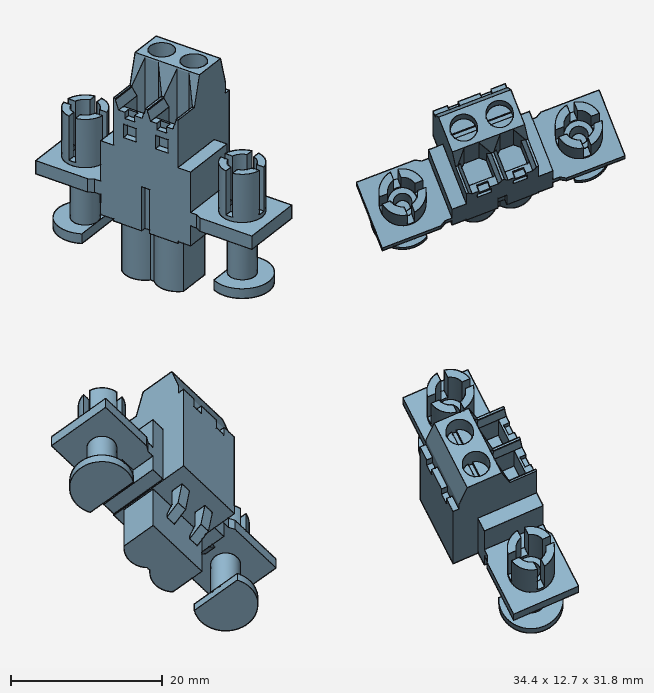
import cadquery as cq


EPS = 0.35

POLE_X = 2.55
BODY_W = 10.25
BODY_FRONT_Y = -4.3
BODY_BACK_Y = 7.9
BODY_BOTTOM_Z = -3.4
BODY_TOP_Z = 20.05
SHOULDER_Z = 15.65
LEDGE_Z = 14.12
LEDGE_DEPTH = 0.85
TOP_FRONT_Y = 0.82
TOP_BACK_Y = 5.85
SLOPE_FOOT_Y = -0.38

WING_W = 14.3
WING_HALF_Y = -BODY_FRONT_Y
WING_BOTTOM_Z = -3.1
WING_TOP_Z = 8.3
FLANGE_LENGTH = 34.35
FLANGE_HALF_Y = 4.75
FLANGE_T = 2.05
NECK_X = 8.1
FLANGE_WIDE_X = 8.9
GUSSET_LEG = 2.2
GUSSET_W = 1.72

COLLAR_X = 12.47
COLLAR_R = 3.13
COLLAR_TOP_Z = 9.52
COLLAR_SLOT_W = 1.03
COLLAR_SLOT_FLOOR_Z = 2.7

PIN_R = 2.0
PIN_HEAD_R = 4.25
PIN_HEAD_TOP_Z = -7.5
PIN_HEAD_T = 1.5
SOCKET_MOUTH_R = 1.25
SOCKET_FLOOR_R = 1.03
SOCKET_DEPTH = 4.12

SCREW_Y = 3.35
SCREW_R = 1.82
SCREW_RECESS = 3.45
SCREW_LENGTH = 4.12
DRIVE_SLOT_W = 0.65
DRIVE_SLOT_DEPTH = 0.7

ENTRY_FLOOR_Z = 14.02
ENTRY_BACK_Y = 0.75
ENTRY_HALF_BACK = 0.95
ENTRY_HALF_FLOOR = 1.75
ENTRY_HALF_MOUTH = 2.27
ENTRY_FUNNEL_TOP_Z = 15.43
LEFT_ENTRY_EXTRA = 0.2
LIP_BACK_Y = -3.13
WIRE_SHAFT_DEPTH = 5.15
NOTCH_W = 1.55
NOTCH_H = 0.95
NOTCH_DEPTH = 0.85

WINDOW_W = 2.0
WINDOW_BOTTOM_Z = 10.05
WINDOW_H = 2.05
WINDOW_DEPTH = 0.95
CENTRE_SLOT_W = 1.25
CENTRE_SLOT_TOP_Z = 3.4
CENTRE_SLOT_DEPTH = 0.75
LATCH_X = 2.3
LATCH_W = 1.5
BACK_NOTCH_H = 1.72

PLUG_BOTTOM_Z = -11.7
PLUG_HALF_W = 4.9
PLUG_GAP_HALF_W = 0.27
PLUG_BACK_Y = 2.4
PLUG_FLAT_Y = -2.68
PLUG_FRONT_Y = -3.68
LATCH_BACK_Y = TOP_BACK_Y
LATCH_FRONT_Y = 4.1
LATCH_TIP_Y = 3.2
LATCH_TIP_TOP_Z = -7.97
LATCH_TIP_BOTTOM_Z = -8.6
LATCH_HEEL_Y = 5.15
LATCH_HEEL_Z = -7.05
LATCH_BEND_Z = -6.43


def box(x0, x1, y0, y1, z0, z1):
    """Box between two opposite corners."""
    return cq.Workplane("XY").box(x1 - x0, y1 - y0, z1 - z0, centered=False).translate((x0, y0, z0))


def wide_box(x, width, y0, y1, z0, z1):
    """Box centred on x."""
    return box(x - width / 2, x + width / 2, y0, y1, z0, z1)


def cylinder(x, y, radius, z0, z1):
    return cq.Workplane("XY", origin=(x, y, z0)).circle(radius).extrude(z1 - z0)


def side_profile(points, x, width):
    """Solid from (y, z) points, centred on x."""
    return cq.Workplane("YZ", origin=(x - width / 2, 0, 0)).polyline(points).close().extrude(width)


def make_core():
    ledge_y = BODY_BACK_Y - LEDGE_DEPTH
    profile = [
        (BODY_FRONT_Y, BODY_BOTTOM_Z),
        (BODY_BACK_Y, BODY_BOTTOM_Z),
        (BODY_BACK_Y, LEDGE_Z),
        (ledge_y, LEDGE_Z),
        (ledge_y, SHOULDER_Z),
        (TOP_BACK_Y, BODY_TOP_Z),
        (TOP_FRONT_Y, BODY_TOP_Z),
        (SLOPE_FOOT_Y, SHOULDER_Z),
        (BODY_FRONT_Y, SHOULDER_Z),
    ]
    core = side_profile(profile, 0, BODY_W)
    wings = wide_box(0, WING_W, -WING_HALF_Y, WING_HALF_Y, WING_BOTTOM_Z, WING_TOP_Z)
    return core.union(wings)


def make_flange():
    """Flange, gusset and collar on the +X side, not yet slotted or bored."""
    end_x = FLANGE_LENGTH / 2
    outline = [
        (0, -WING_HALF_Y),
        (NECK_X, -WING_HALF_Y),
        (FLANGE_WIDE_X, -FLANGE_HALF_Y),
        (end_x, -FLANGE_HALF_Y),
        (end_x, FLANGE_HALF_Y),
        (FLANGE_WIDE_X, FLANGE_HALF_Y),
        (NECK_X, WING_HALF_Y),
        (0, WING_HALF_Y),
    ]
    plate = cq.Workplane("XY").polyline(outline).close().extrude(FLANGE_T)
    wing_x = WING_W / 2
    gusset_outline = [(wing_x, 0), (wing_x + GUSSET_LEG, 0), (wing_x, -GUSSET_LEG)]
    gusset = cq.Workplane("XZ").polyline(gusset_outline).close().extrude(GUSSET_W / 2, both=True)
    collar = cylinder(COLLAR_X, 0, COLLAR_R, FLANGE_T, COLLAR_TOP_Z)
    return plate.union(gusset).union(collar)


def make_flange_cutter():
    """Pin bore and the crossed collar slots on the +X side."""
    slot_top_z = COLLAR_TOP_Z + EPS
    slot_reach = COLLAR_R + EPS
    bore = cylinder(COLLAR_X, 0, PIN_R, -EPS, slot_top_z)
    slot_y = wide_box(COLLAR_X, COLLAR_SLOT_W, -slot_reach, slot_reach, COLLAR_SLOT_FLOOR_Z, slot_top_z)
    slot_x = slot_y.rotate((COLLAR_X, 0, 0), (COLLAR_X, 0, 1), 90)
    return bore.union(slot_x).union(slot_y)


def make_plug_half():
    """+X half of the plug, with one round front."""
    mid_x = (PLUG_GAP_HALF_W + PLUG_HALF_W) / 2
    return (
        cq.Workplane("XY", origin=(0, 0, PLUG_BOTTOM_Z))
        .moveTo(0, PLUG_BACK_Y)
        .lineTo(0, PLUG_FLAT_Y)
        .lineTo(PLUG_GAP_HALF_W, PLUG_FLAT_Y)
        .threePointArc((mid_x, PLUG_FRONT_Y), (PLUG_HALF_W, PLUG_FLAT_Y))
        .lineTo(PLUG_HALF_W, PLUG_BACK_Y)
        .close()
        .extrude(BODY_BOTTOM_Z - PLUG_BOTTOM_Z)
    )


def make_latch(x):
    """Hooked latch hanging below the body."""
    profile = [
        (LATCH_BACK_Y, BODY_BOTTOM_Z),
        (LATCH_HEEL_Y, LATCH_HEEL_Z),
        (LATCH_TIP_Y, LATCH_TIP_BOTTOM_Z),
        (LATCH_TIP_Y, LATCH_TIP_TOP_Z),
        (LATCH_FRONT_Y, LATCH_BEND_Z),
        (LATCH_FRONT_Y, BODY_BOTTOM_Z),
    ]
    return side_profile(profile, x, LATCH_W)


def make_entry_cutter(x, extra):
    """Flared wire entry and the shaft behind its lip; the +X wall is moved by extra."""
    front_y = BODY_FRONT_Y - EPS
    plan = [
        (-ENTRY_HALF_BACK, ENTRY_BACK_Y),
        (-ENTRY_HALF_MOUTH, SLOPE_FOOT_Y),
        (-ENTRY_HALF_MOUTH, front_y),
        (ENTRY_HALF_MOUTH + extra, front_y),
        (ENTRY_HALF_MOUTH + extra, SLOPE_FOOT_Y),
        (ENTRY_HALF_BACK + extra, ENTRY_BACK_Y),
    ]
    funnel = [
        (-ENTRY_HALF_FLOOR, ENTRY_FLOOR_Z),
        (-ENTRY_HALF_MOUTH, ENTRY_FUNNEL_TOP_Z),
        (-ENTRY_HALF_MOUTH, BODY_TOP_Z),
        (ENTRY_HALF_MOUTH + extra, BODY_TOP_Z),
        (ENTRY_HALF_MOUTH + extra, ENTRY_FUNNEL_TOP_Z),
        (ENTRY_HALF_FLOOR + extra, ENTRY_FLOOR_Z),
    ]
    shaft_floor_z = ENTRY_FLOOR_Z - WIRE_SHAFT_DEPTH
    height = BODY_TOP_Z - shaft_floor_z
    flared = cq.Workplane("XY", origin=(0, 0, shaft_floor_z)).polyline(plan).close().extrude(height)
    tapered = (
        cq.Workplane("XZ", origin=(0, ENTRY_BACK_Y, 0)).polyline(funnel).close()
        .extrude(ENTRY_BACK_Y - front_y)
    )
    shaft = box(
        -ENTRY_HALF_FLOOR, ENTRY_HALF_FLOOR + extra,
        LIP_BACK_Y, ENTRY_BACK_Y,
        shaft_floor_z, ENTRY_FLOOR_Z,
    )
    return flared.intersect(tapered.union(shaft)).translate((x, 0, 0))


def make_housing():
    body = make_core()
    plug_half = make_plug_half()
    body = body.union(plug_half).union(plug_half.mirror("YZ"))
    flange = make_flange()
    body = body.union(flange).union(flange.mirror("YZ"))
    flange_cutter = make_flange_cutter()
    body = body.cut(flange_cutter).cut(flange_cutter.mirror("YZ"))

    screw_bottom_z = BODY_TOP_Z - SCREW_RECESS - SCREW_LENGTH
    front_y = BODY_FRONT_Y - EPS
    notch_back_y = BODY_FRONT_Y + NOTCH_DEPTH
    notch_bottom_z = ENTRY_FLOOR_Z - NOTCH_H
    window_back_y = BODY_FRONT_Y + WINDOW_DEPTH
    window_top_z = WINDOW_BOTTOM_Z + WINDOW_H
    for x, extra in ((-POLE_X, LEFT_ENTRY_EXTRA), (POLE_X, 0)):
        body = body.cut(make_entry_cutter(x, extra))
        body = body.cut(cylinder(x, SCREW_Y, SCREW_R, screw_bottom_z, BODY_TOP_Z + EPS))
        body = body.cut(wide_box(x, NOTCH_W, front_y, notch_back_y, notch_bottom_z, ENTRY_FLOOR_Z + EPS))
        body = body.cut(wide_box(x, WINDOW_W, front_y, window_back_y, WINDOW_BOTTOM_Z, window_top_z))

    slot_back_y = BODY_FRONT_Y + CENTRE_SLOT_DEPTH
    slot_bottom_z = BODY_BOTTOM_Z - EPS
    body = body.cut(wide_box(0, CENTRE_SLOT_W, front_y, slot_back_y, slot_bottom_z, CENTRE_SLOT_TOP_Z))

    ledge_y = BODY_BACK_Y - LEDGE_DEPTH
    notch_floor_z = LEDGE_Z - BACK_NOTCH_H
    for x in (-LATCH_X, LATCH_X):
        body = body.union(make_latch(x))
        body = body.cut(wide_box(x, LATCH_W, ledge_y, BODY_BACK_Y + EPS, notch_floor_z, LEDGE_Z + EPS))
    return body


def make_flange_pin():
    """Pin on the +X side; its round head is cut flat on the side facing the housing."""
    head_bottom_z = PIN_HEAD_TOP_Z - PIN_HEAD_T
    shank = cylinder(COLLAR_X, 0, PIN_R, PIN_HEAD_TOP_Z, FLANGE_T)
    head = cylinder(COLLAR_X, 0, PIN_HEAD_R, head_bottom_z, PIN_HEAD_TOP_Z)
    flat_x = COLLAR_X - PIN_R
    head = head.cut(box(0, flat_x, -PIN_HEAD_R, PIN_HEAD_R, head_bottom_z - EPS, PIN_HEAD_TOP_Z + EPS))
    socket = (
        cq.Workplane("XY", origin=(COLLAR_X, 0, FLANGE_T)).circle(SOCKET_MOUTH_R)
        .workplane(offset=-SOCKET_DEPTH).circle(SOCKET_FLOOR_R)
        .loft()
    )
    return shank.union(head).cut(socket)


def make_clamp_screw(x):
    top_z = BODY_TOP_Z - SCREW_RECESS
    screw = cylinder(x, SCREW_Y, SCREW_R, top_z - SCREW_LENGTH, top_z)
    slot = wide_box(
        x, 2 * (SCREW_R + EPS), SCREW_Y - DRIVE_SLOT_W / 2, SCREW_Y + DRIVE_SLOT_W / 2,
        top_z - DRIVE_SLOT_DEPTH, top_z + EPS,
    )
    return screw.cut(slot)


housing = make_housing()
right_pin = make_flange_pin()
flange_pins = [right_pin, right_pin.mirror("YZ")]
clamp_screws = [make_clamp_screw(x) for x in (-POLE_X, POLE_X)]

result = cq.Compound.makeCompound(
    [housing.val()] + [pin.val() for pin in flange_pins] + [screw.val() for screw in clamp_screws]
)